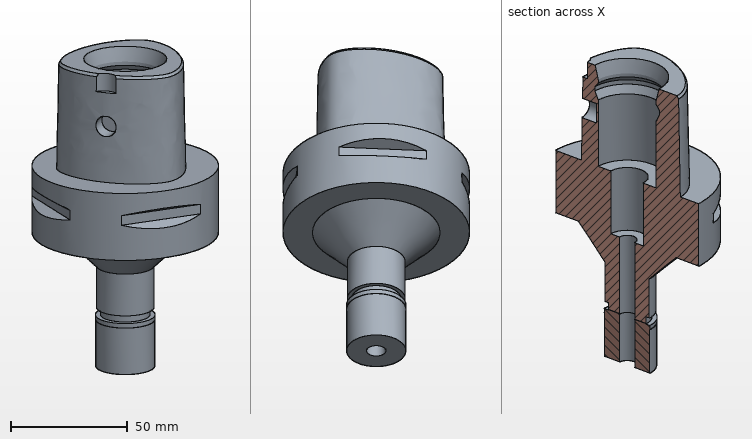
import cadquery as cq
import math

total_height = 138.0
sleeve_height = 23.0
collar_bottom_z = 21.0
neck_bottom_z = 26.4
cone_bottom_z = 45.1
flange_bottom_z = 60.0
flange_top_z = 90.1

flange_radius = 40.0
neck_radius = 12.4
relief_radius = 10.6
collar_radius = 12.8
sleeve_radius = 12.7
cone_top_radius = neck_radius + flange_bottom_z - cone_bottom_z

shank_mean_radius = 27.7
lobe_offset = 2.1
shank_taper = 1.0
shank_chamfer_inset = 0.8
shank_chamfer_height = 1.2
lobe_count = 3
curve_points = 72

mouth_radius = 17.8
bore_radius = 16.0
undercut_radius = 18.0
mouth_cone_depth = 6.5
lip_depth = 8.0
undercut_top_depth = 10.4
undercut_bottom_depth = 12.4
undercut_end_depth = 16.1
bore_depth = total_height - flange_top_z
screw_bore_radius = 9.0
coolant_radius = 4.1

keyway_radius = 5.5
keyway_deepest_y = -22.2
keyway_height = 7.9
side_hole_radius = 4.5
side_hole_z = 115.1
side_hole_floor_y = -17.2

groove_count = 4
groove_floor_distance = 35.3
groove_floor_width = 4.3
groove_mouth_width = 8.8
groove_z = 78.0


def lobed_wire(mean_radius, z):
    """Closed three-lobed outline at height z, with one lobe toward +Y."""

    def point(angle):
        reach = mean_radius + lobe_offset * math.cos(lobe_count * angle)
        slide = -lobe_count * lobe_offset * math.sin(lobe_count * angle)
        x = -reach * math.sin(angle) - slide * math.cos(angle)
        y = reach * math.cos(angle) - slide * math.sin(angle)
        return cq.Vector(x, y, z)

    points = [point(2 * math.pi * index / curve_points) for index in range(curve_points)]
    return cq.Wire.assembleEdges([cq.Edge.makeSpline(points, periodic=True)])


def make_shank():
    """Tapered shank with its chamfered top edge."""
    chamfer_z = total_height - shank_chamfer_height
    chamfer_radius = shank_mean_radius - shank_taper
    base = lobed_wire(shank_mean_radius, flange_top_z)
    shoulder = lobed_wire(chamfer_radius, chamfer_z)
    top = lobed_wire(chamfer_radius - shank_chamfer_inset, total_height)
    taper = cq.Solid.makeLoft([base, shoulder], True)
    chamfer = cq.Solid.makeLoft([shoulder, top], True)
    return cq.Workplane("XY").add(taper).union(cq.Workplane("XY").add(chamfer))


def make_turned_body():
    """Flange, cone, neck and relief groove as one turned profile."""
    return (
        cq.Workplane("XZ")
        .moveTo(0, sleeve_height)
        .lineTo(relief_radius, sleeve_height)
        .lineTo(relief_radius, neck_bottom_z)
        .lineTo(neck_radius, neck_bottom_z)
        .lineTo(neck_radius, cone_bottom_z)
        .lineTo(cone_top_radius, flange_bottom_z)
        .lineTo(flange_radius, flange_bottom_z)
        .lineTo(flange_radius, flange_top_z)
        .lineTo(0, flange_top_z)
        .close()
        .revolve(360, (0, 0, 0), (0, 1, 0))
    )


def make_bore():
    """Conical mouth, lip, undercut, main bore, screw bore and coolant hole."""
    bore_steps = [
        (mouth_radius, 0),
        (bore_radius, mouth_cone_depth),
        (bore_radius, lip_depth),
        (undercut_radius, undercut_top_depth),
        (undercut_radius, undercut_bottom_depth),
        (bore_radius, undercut_end_depth),
        (bore_radius, bore_depth),
        (screw_bore_radius, bore_depth),
        (screw_bore_radius, total_height - flange_bottom_z),
        (coolant_radius, total_height - flange_bottom_z),
        (coolant_radius, total_height - sleeve_height),
        (0, total_height - sleeve_height),
    ]
    profile = [(0, total_height)]
    profile += [(radius, total_height - depth) for radius, depth in bore_steps]
    return cq.Workplane("XZ").polyline(profile).close().revolve(360, (0, 0, 0), (0, 1, 0))


def make_keyway():
    """Round-bottomed keyway open at the top of the shank."""
    return (
        cq.Workplane("XY", origin=(0, keyway_deepest_y - keyway_radius, total_height - keyway_height))
        .circle(keyway_radius)
        .extrude(keyway_height)
    )


def make_side_hole():
    """Flat-bottomed blind hole entering from -Y."""
    return (
        cq.Workplane("XZ", origin=(0, side_hole_floor_y, side_hole_z))
        .circle(side_hole_radius)
        .extrude(flange_radius + side_hole_floor_y)
    )


def make_gripper_groove(angle):
    """Straight groove with a flat floor and flared flanks, facing +X turned by angle."""
    half_floor = groove_floor_width / 2
    half_mouth = groove_mouth_width / 2
    return (
        cq.Workplane("XZ")
        .moveTo(groove_floor_distance, groove_z - half_floor)
        .lineTo(flange_radius, groove_z - half_mouth)
        .lineTo(flange_radius, groove_z + half_mouth)
        .lineTo(groove_floor_distance, groove_z + half_floor)
        .close()
        .extrude(flange_radius, both=True)
        .rotate((0, 0, 0), (0, 0, 1), angle)
    )


def make_holder():
    """Tool holder with its shank, flange and neck."""
    body = make_turned_body().union(make_shank())
    body = body.cut(make_bore()).cut(make_keyway()).cut(make_side_hole())
    spacing = 360 / groove_count
    for index in range(groove_count):
        body = body.cut(make_gripper_groove(spacing * (index + 0.5)))
    return body


def make_nose_sleeve():
    """Sleeve below the neck, with a slightly larger collar at its top."""
    sleeve = cq.Workplane("XY").circle(sleeve_radius).extrude(sleeve_height)
    collar = (
        cq.Workplane("XY", origin=(0, 0, collar_bottom_z))
        .circle(collar_radius)
        .extrude(sleeve_height - collar_bottom_z)
    )
    coolant_hole = cq.Workplane("XY").circle(coolant_radius).extrude(sleeve_height)
    return sleeve.union(collar).cut(coolant_hole)


holder = make_holder()
nose_sleeve = make_nose_sleeve()

result = cq.Compound.makeCompound([holder.solids().val(), nose_sleeve.solids().val()])